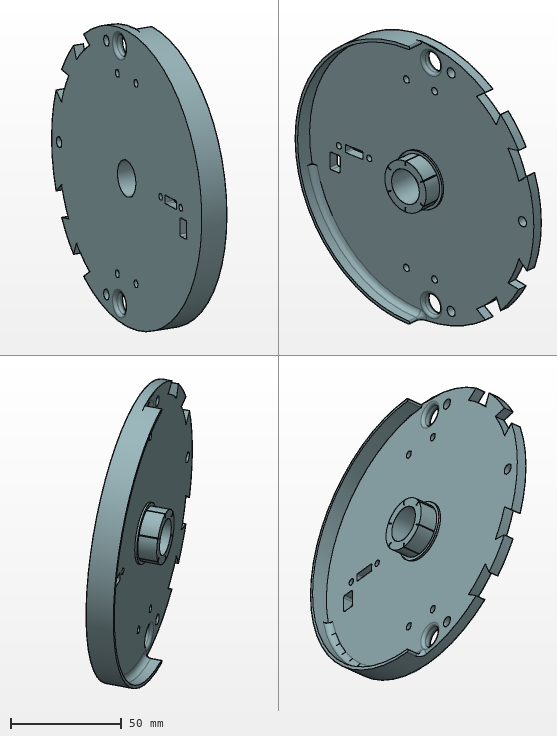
import cadquery as cq
import math

disc_radius = 70.0
plate_thickness = 5.0

rim_height = 13.0
rim_thickness = 1.5
rim_inner_radius = disc_radius - rim_thickness
rim_middle_radius = disc_radius - rim_thickness / 2
rim_fillet = 3.0
rim_fillet_top_z = -14.4

hub_radius = 12.7
hub_height = 15.0
collar_radius = 14.3
collar_height = 6.0
bore_radius = 8.5
slit_width = 0.3
slit_depth = 2.1
slit_angles = range(30, 360, 60)

notch_angles = [130, 155, 205, 230]
notch_floor_radius = 63.8
notch_mouth_half_angle = 5.0
notch_floor_half_angle = 7.1
notch_overshoot = 1.4

edge_hole_circle_radius = 63.0
edge_hole_angles = [107.5, 180, 252.5]
edge_hole_diameter = 4.9
mount_hole_x = 8.7
mount_hole_z = 47.5
mount_hole_diameter = 3.5
screw_hole_x = -6.6
screw_hole_z = 61.0
screw_hole_diameter = 10.1
screw_hole_rounding = 1.5

connector_x = 41.0
connector_length = 10.8
connector_width = 3.9
connector_corner = 0.5
connector_screw_offset = 9.4
connector_screw_diameter = 3.1
window_x = 52.8
window_z = -9.2
window_width = 6.3
window_height = 8.8
window_corner = 1.0


def plane_at(y):
    """XZ sketch plane at height y whose extrusions run toward +Y."""
    return cq.Plane(origin=(0, y, 0), xDir=(1, 0, 0), normal=(0, -1, 0))


def cylinder(radius, start_y, end_y, x=0.0, z=0.0):
    return cq.Workplane(plane_at(start_y)).center(x, z).circle(radius).extrude(start_y - end_y)


def polar(radius, angle):
    radians = math.radians(angle)
    return radius * math.cos(radians), radius * math.sin(radians)


def arc_inset(radius):
    """Distance from either tangent line to the middle of a quarter-circle rounding."""
    return radius * (1 - math.cos(math.radians(45)))


def region(x_range, y_range, z_range):
    """Box spanning the given limits, used to trim other shapes."""
    sizes = [high - low for low, high in (x_range, y_range, z_range)]
    corner = (x_range[0], y_range[0], z_range[0])
    return cq.Workplane("XY").box(*sizes, centered=False).translate(corner)


def rim_wall():
    ring = cylinder(disc_radius, 0, rim_height).cut(cylinder(rim_inner_radius, 0, rim_height))
    wall = ring.intersect(region((0, disc_radius), (0, rim_height), (-disc_radius, disc_radius)))
    for side in (1, -1):
        rounded_end = cylinder(rim_thickness / 2, 0, rim_height, z=side * rim_middle_radius)
        wall = wall.union(rounded_end)
    return wall


def flare(wall_radius, direction, axis_x, axis_z):
    """Concave fillet at the floor, turned about a Y axis; direction +1 spreads outward, -1 inward."""
    foot_radius = wall_radius + direction * rim_fillet
    embed_radius = wall_radius - direction * rim_thickness / 4
    top_y = plate_thickness + rim_fillet
    bend = arc_inset(rim_fillet)
    return (
        cq.Workplane("XY")
        .moveTo(embed_radius, 0)
        .lineTo(foot_radius, 0)
        .lineTo(foot_radius, plate_thickness)
        .threePointArc(
            (wall_radius + direction * bend, plate_thickness + bend),
            (wall_radius, top_y),
        )
        .lineTo(embed_radius, top_y)
        .close()
        .revolve(360, (0, 0, 0), (0, 1, 0))
        .translate((axis_x, 0, axis_z))
    )


def rim_foot_fillet():
    """Fillet inside the lower part of the rim, carried around its rounded lower end."""
    lower_right = region((0, disc_radius), (0, rim_height), (-disc_radius, rim_fillet_top_z))
    inner = flare(rim_inner_radius, -1, 0, 0).intersect(lower_right)
    end = flare(rim_thickness / 2, 1, 0, -rim_middle_radius)
    end = end.intersect(region((-disc_radius, 0), (0, rim_height), (-disc_radius, 0)))
    return inner.union(end.intersect(cylinder(disc_radius, 0, rim_height)))


def hub():
    body = cylinder(hub_radius, 0, hub_height)
    for angle in slit_angles:
        slit = region(
            (hub_radius - slit_depth, hub_radius + slit_depth),
            (collar_height, hub_height),
            (-slit_width / 2, slit_width / 2),
        )
        body = body.cut(slit.rotate((0, 0, 0), (0, 1, 0), -angle))
    return body.union(cylinder(collar_radius, 0, collar_height))


def notch(angle):
    """Dovetail cutter: straight flanks through the rim, arc floor about the disc axis."""
    floor_start = polar(notch_floor_radius, angle - notch_floor_half_angle)
    floor_middle = polar(notch_floor_radius, angle)
    floor_end = polar(notch_floor_radius, angle + notch_floor_half_angle)
    mouth_start = polar(disc_radius, angle - notch_mouth_half_angle)
    mouth_middle = polar(disc_radius + notch_overshoot, angle)
    mouth_end = polar(disc_radius, angle + notch_mouth_half_angle)
    return (
        cq.Workplane(plane_at(0))
        .moveTo(*floor_start)
        .threePointArc(floor_middle, floor_end)
        .lineTo(*mouth_end)
        .threePointArc(mouth_middle, mouth_start)
        .close()
        .extrude(-plate_thickness)
    )


def through_hole(diameter, x, z):
    return cylinder(diameter / 2, 0, plate_thickness, x, z)


def rounded_hole(x, z):
    """Hole cutter whose mouths on both plate faces are flared by a convex rounding."""
    radius = screw_hole_diameter / 2
    mouth_radius = radius + screw_hole_rounding
    bend = arc_inset(screw_hole_rounding)
    return (
        cq.Workplane("XY")
        .lineTo(mouth_radius, 0)
        .threePointArc((radius + bend, bend), (radius, screw_hole_rounding))
        .lineTo(radius, plate_thickness - screw_hole_rounding)
        .threePointArc((radius + bend, plate_thickness - bend), (mouth_radius, plate_thickness))
        .lineTo(0, plate_thickness)
        .close()
        .revolve(360, (0, 0, 0), (0, 1, 0))
        .translate((x, 0, z))
    )


def rounded_window(x, z, width, height, corner):
    block = cq.Workplane(plane_at(0)).center(x, z).rect(width, height).extrude(-plate_thickness)
    return block.edges("|Y").fillet(corner)


result = cylinder(disc_radius, 0, plate_thickness)
result = result.union(rim_wall()).union(rim_foot_fillet()).union(hub())
result = result.cut(cylinder(bore_radius, 0, hub_height))

for notch_angle in notch_angles:
    result = result.cut(notch(notch_angle))

for hole_angle in edge_hole_angles:
    result = result.cut(through_hole(edge_hole_diameter, *polar(edge_hole_circle_radius, hole_angle)))

for side in (1, -1):
    result = result.cut(rounded_hole(screw_hole_x, side * screw_hole_z))
    for hole_x in (-mount_hole_x, mount_hole_x):
        result = result.cut(through_hole(mount_hole_diameter, hole_x, side * mount_hole_z))
    connector_screw_x = connector_x + side * connector_screw_offset
    result = result.cut(through_hole(connector_screw_diameter, connector_screw_x, 0))

result = result.cut(rounded_window(connector_x, 0, connector_length, connector_width, connector_corner))
result = result.cut(rounded_window(window_x, window_z, window_width, window_height, window_corner))